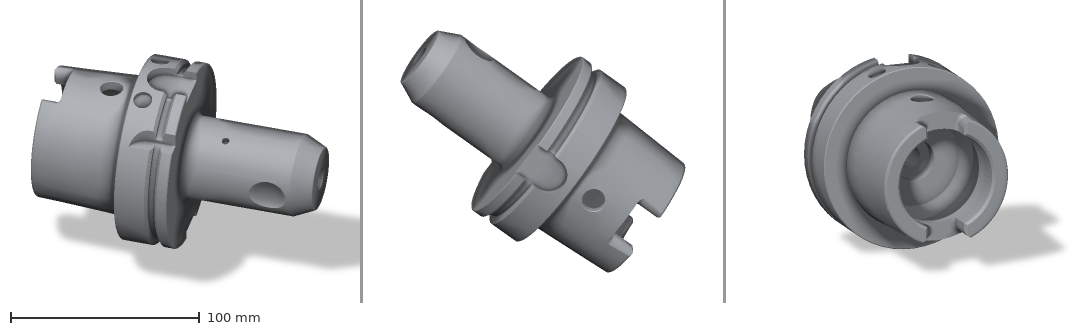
import cadquery as cq
import math


taper_length = 50.0
nose_length = 100.0

taper_base_radius = 37.8
taper_tip_radius = 35.4
tip_rounding = 1.5
relief_width = 2.0
relief_radius = 37.2

flange_radius = 100.0 / 2
flange_width = 29.0
flange_chamfer = 0.5
groove_center = 20.0
groove_floor_width = 3.8
groove_mouth_width = 6.8
groove_bevel_depth = 2.0
groove_floor_radius = flange_radius - 4.0

nose_radius = 44.4 / 2
nose_fillet = 3.0
nose_cone_length = 11.2
nose_tip_radius = 17.0
nose_tip_rounding = 0.8

bore_radius = 53.0 / 2
bore_mouth_radius = 55.6 / 2
lip_end = -30.0
undercut_radius = 63 / 2
undercut_slope = math.radians(60)
undercut_end = -9.0
cavity_floor = -4.5
cavity_floor_radius = 50.0 / 2
tube_seat_diameter = 22.4
tube_seat_depth = 7.5
coolant_diameter = 12.0

slot_half_width = 10.5
slot_flare_radius = 5.0
slot_flare_start = 27.5
upper_slot_depth = 10.4
lower_slot_depth = 15.0
slot_corner_radius = 2.2
slot_rim_chamfer = 1.5

cross_hole_diameter = 12.0
cross_hole_x = -15.0
cross_hole_chamfer = 0.5

keyway_width = 20.0
keyway_start = 4.8
keyway_floor = 44.0
notch_offset = 31.5

dimple_diameter = 10.0
dimple_depth = 3.0
dimple_x = 6.9
dimple_angle = 20
drill_point_angle = math.radians(118)

scoop_radius = 25.0 / 2
scoop_x = 76.8
front_scoop_diameter = 20.2
back_scoop_diameter = 19.0

port_diameter = 4.0
port_depth = 3.8
port_x = 49.8
port_angle = 20


def revolve_about_x(profile):
    """Revolve a profile drawn with x along the axis and y as the radius."""
    return profile.close().revolve(360, (0, 0, 0), (1, 0, 0))


def outer_body():
    wall = groove_floor_width / 2
    mouth = groove_mouth_width / 2
    bevel_radius = flange_radius - groove_bevel_depth
    cone_start = nose_length - nose_cone_length
    fillet_mid = nose_fillet * (1 - math.sqrt(0.5))
    profile = (
        cq.Workplane("XY")
        .moveTo(-taper_length, 0)
        .lineTo(-taper_length, taper_tip_radius)
        .lineTo(-relief_width, taper_base_radius)
        .lineTo(-relief_width, relief_radius)
        .lineTo(0, relief_radius)
        .lineTo(0, flange_radius - flange_chamfer)
        .lineTo(flange_chamfer, flange_radius)
        .lineTo(groove_center - mouth, flange_radius)
        .lineTo(groove_center - wall, bevel_radius)
        .lineTo(groove_center - wall, groove_floor_radius)
        .lineTo(groove_center + wall, groove_floor_radius)
        .lineTo(groove_center + wall, bevel_radius)
        .lineTo(groove_center + mouth, flange_radius)
        .lineTo(flange_width - flange_chamfer, flange_radius)
        .lineTo(flange_width, flange_radius - flange_chamfer)
        .lineTo(flange_width, nose_radius + nose_fillet)
        .threePointArc(
            (flange_width + fillet_mid, nose_radius + fillet_mid),
            (flange_width + nose_fillet, nose_radius),
        )
        .lineTo(cone_start, nose_radius)
        .lineTo(nose_length, nose_tip_radius)
        .lineTo(nose_length, 0)
    )
    body = revolve_about_x(profile)
    body = body.faces("<X").edges().fillet(tip_rounding)
    return body.faces(">X").edges().fillet(nose_tip_rounding)


def cavity():
    mouth_chamfer = bore_mouth_radius - bore_radius
    undercut_start = lip_end + (undercut_radius - bore_radius) / math.tan(undercut_slope)
    profile = (
        cq.Workplane("XY")
        .moveTo(-taper_length, 0)
        .lineTo(-taper_length, bore_mouth_radius)
        .lineTo(-taper_length + mouth_chamfer, bore_radius)
        .lineTo(lip_end, bore_radius)
        .lineTo(undercut_start, undercut_radius)
        .lineTo(undercut_end, undercut_radius)
        .lineTo(cavity_floor, cavity_floor_radius)
        .lineTo(cavity_floor, 0)
    )
    return revolve_about_x(profile)


def axial_hole(diameter, start, end):
    return cq.Workplane("YZ", origin=(start, 0, 0)).circle(diameter / 2).extrude(end - start)


def drive_slot(depth):
    """Slot open to +Z whose side walls flare outwards in an arc."""
    flare_y = slot_half_width + slot_flare_radius
    flare_z = slot_flare_start + slot_flare_radius
    mid_y = flare_y - slot_flare_radius * math.sqrt(0.5)
    mid_z = slot_flare_start + slot_flare_radius * math.sqrt(0.5)
    outside = taper_base_radius
    slot = (
        cq.Workplane("YZ", origin=(-taper_length, 0, 0))
        .moveTo(-slot_half_width, 0)
        .lineTo(-slot_half_width, slot_flare_start)
        .threePointArc((-mid_y, mid_z), (-flare_y, flare_z))
        .lineTo(-outside, flare_z)
        .lineTo(-outside, outside)
        .lineTo(outside, outside)
        .lineTo(outside, flare_z)
        .lineTo(flare_y, flare_z)
        .threePointArc((mid_y, mid_z), (slot_half_width, slot_flare_start))
        .lineTo(slot_half_width, 0)
        .close()
        .extrude(depth)
    )
    side_walls = cq.selectors.BoxSelector(
        (-taper_length + depth - 0.2, -flare_y - 0.2, 0.2),
        (-taper_length + depth + 0.2, flare_y + 0.2, flare_z + 0.2),
    )
    slot = slot.edges(side_walls).fillet(slot_corner_radius)
    rim = (
        cq.Workplane("XY")
        .moveTo(-taper_length, -slot_half_width - slot_rim_chamfer)
        .lineTo(-taper_length + slot_rim_chamfer, -slot_half_width)
        .lineTo(-taper_length + slot_rim_chamfer, slot_half_width)
        .lineTo(-taper_length, slot_half_width + slot_rim_chamfer)
        .close()
        .extrude(outside)
    )
    return slot.union(rim)


def cross_hole():
    """Hole from the cavity out through the +Z wall of the taper."""
    inside = undercut_radius / 2
    return (
        cq.Workplane("XY", origin=(cross_hole_x, 0, inside))
        .circle(cross_hole_diameter / 2)
        .extrude(flange_radius)
    )


def cross_hole_rims():
    """Select the rims where the cross hole breaks through the outside of the taper."""
    reach = cross_hole_diameter / 2 + 0.2
    low = (undercut_radius + taper_base_radius) / 2
    upper = cq.selectors.BoxSelector(
        (cross_hole_x - reach, -reach, low), (cross_hole_x + reach, reach, flange_radius)
    )
    lower = cq.selectors.BoxSelector(
        (cross_hole_x - reach, -reach, -flange_radius), (cross_hole_x + reach, reach, -low)
    )
    return upper + lower


def keyway(center_y, floor):
    """Round-ended slot running out through the flange back, open to +Z."""
    radius = keyway_width / 2
    center_x = keyway_start + radius
    open_end = flange_width + 1.5
    return (
        cq.Workplane("XY", origin=(0, center_y, floor))
        .moveTo(open_end, -radius)
        .lineTo(center_x, -radius)
        .threePointArc((keyway_start, 0), (center_x, radius))
        .lineTo(open_end, radius)
        .close()
        .extrude(flange_radius)
    )


def radial_drilling(diameter, depth, surface_radius, x, angle):
    """Drill with a conical point, sunk radially at an angle from +Z."""
    radius = diameter / 2
    floor = surface_radius - depth
    point = floor - radius / math.tan(drill_point_angle / 2)
    drill = (
        cq.Workplane("XZ")
        .moveTo(0, point)
        .lineTo(radius, floor)
        .lineTo(radius, surface_radius + 1.5)
        .lineTo(0, surface_radius + 1.5)
        .close()
        .revolve(360, (0, 0, 0), (0, 1, 0))
    )
    return drill.translate((x, 0, 0)).rotate((0, 0, 0), (1, 0, 0), angle)


def scoop(side, mouth_diameter):
    """Ball cut whose mouth has the given length along the nose."""
    ball_offset = nose_radius + math.sqrt(scoop_radius**2 - (mouth_diameter / 2) ** 2)
    return cq.Workplane("XY").sphere(scoop_radius).translate((scoop_x, side * ball_offset, 0))


def flipped(tool):
    """Turn a +Z tool over so that it cuts from -Z."""
    return tool.rotate((0, 0, 0), (1, 0, 0), 180)


body = outer_body()
body = body.cut(drive_slot(upper_slot_depth))
body = body.cut(flipped(drive_slot(lower_slot_depth)))
body = body.cut(cavity())
for tool in (cross_hole(), flipped(cross_hole())):
    body = body.cut(tool)
body = body.edges(cross_hole_rims()).chamfer(cross_hole_chamfer)

body = body.cut(axial_hole(coolant_diameter, cavity_floor, nose_length))
body = body.cut(axial_hole(tube_seat_diameter, cavity_floor, cavity_floor + tube_seat_depth))

body = body.cut(keyway(0, keyway_floor))
body = body.cut(flipped(keyway(0, keyway_floor)))
body = body.cut(keyway(-notch_offset - keyway_width / 2, notch_offset))

for angle in (-dimple_angle, dimple_angle):
    body = body.cut(radial_drilling(dimple_diameter, dimple_depth, flange_radius, dimple_x, angle))

body = body.cut(scoop(-1, front_scoop_diameter))
body = body.cut(scoop(1, back_scoop_diameter))
body = body.cut(radial_drilling(port_diameter, port_depth, nose_radius, port_x, port_angle))

result = body